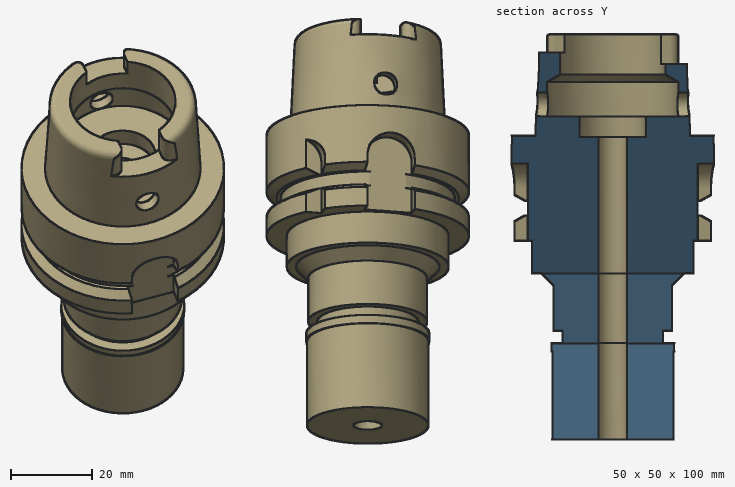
import cadquery as cq
import math

NUT_COLLAR_BOTTOM = 21.7
NUT_TOP = 23.8
NECK_TOP = 26.8
SHANK_CONE_BOTTOM = 38.0
HOLDER_BOTTOM = 41.0
FLANGE_BOTTOM = 49.0
FLANGE_TOP = 75.0
OVERALL_HEIGHT = 100.0

NUT_RADIUS = 15.0
NUT_COLLAR_RADIUS = 15.2
NECK_RADIUS = 12.5
SHANK_RADIUS = 14.7
SHANK_CONE_TOP_RADIUS = SHANK_RADIUS + HOLDER_BOTTOM - SHANK_CONE_BOTTOM
THROUGH_HOLE_RADIUS = 3.5

SPIGOT_RADIUS = 20.0
FLANGE_RADIUS = 25.0
GROOVE_FLOOR_RADIUS = 21.5
GROOVE_LEDGE_RADIUS = 22.5
GROOVE_CENTER = FLANGE_TOP - 17.9
GROOVE_FLOOR_WIDTH = 3.6
GROOVE_CHAMFER_ANGLE = 30.0

TAPER_BASE_RADIUS = 19.2
TAPER_TOP_RADIUS = 18.0
RIM_ROUNDING = 1.7
BORE_RADIUS = 13.0
UNDERCUT_RADIUS = 16.2
CLAMP_FACE_DEPTH = 10.0
CLAMP_FACE_ANGLE = 30.0
CAVITY_DEPTH = 20.3
COUNTERBORE_RADIUS = 8.1
COUNTERBORE_DEPTH = 5.0
CROSS_HOLE_DIAMETER = 5.8
CROSS_HOLE_HEIGHT = FLANGE_TOP + 7.7

RIM_SLOTS = [(-1, 4.5), (1, 7.3)]
RIM_SLOT_WIDTH = 10.6
RIM_FLAT_DISTANCE = 16.2
RIM_SLOT_ROUNDING = 2.0

FLANGE_SLOT_WIDTH = 12.0
FLANGE_SLOT_TOP = FLANGE_TOP - 6.9
FLANGE_SLOT_FLOOR = 21.0
NOTCH_FLOOR = 15.6
NOTCH_SIDE = 15.6


def make_nut():
    nut = cq.Workplane().circle(NUT_RADIUS).extrude(NUT_TOP)
    collar = (
        cq.Workplane()
        .workplane(offset=NUT_COLLAR_BOTTOM)
        .circle(NUT_COLLAR_RADIUS)
        .extrude(NUT_TOP - NUT_COLLAR_BOTTOM)
    )
    bore = cq.Workplane().circle(THROUGH_HOLE_RADIUS).extrude(NUT_TOP)
    return nut.union(collar).cut(bore)


def make_shank():
    """Neck, cylinder and cone that join the nut to the holder."""
    return (
        cq.Workplane("YZ")
        .moveTo(THROUGH_HOLE_RADIUS, NUT_TOP)
        .lineTo(NECK_RADIUS, NUT_TOP)
        .lineTo(NECK_RADIUS, NECK_TOP)
        .lineTo(SHANK_RADIUS, NECK_TOP)
        .lineTo(SHANK_RADIUS, SHANK_CONE_BOTTOM)
        .lineTo(SHANK_CONE_TOP_RADIUS, HOLDER_BOTTOM)
        .lineTo(THROUGH_HOLE_RADIUS, HOLDER_BOTTOM)
        .close()
        .revolve(360, (0, 0, 0), (0, 1, 0))
    )


def holder_outside():
    floor_half = GROOVE_FLOOR_WIDTH / 2
    chamfer_width = FLANGE_RADIUS - GROOVE_LEDGE_RADIUS
    mouth_half = floor_half + chamfer_width * math.tan(math.radians(GROOVE_CHAMFER_ANGLE))
    solid = (
        cq.Workplane("YZ")
        .moveTo(0, HOLDER_BOTTOM)
        .lineTo(SPIGOT_RADIUS, HOLDER_BOTTOM)
        .lineTo(SPIGOT_RADIUS, FLANGE_BOTTOM)
        .lineTo(FLANGE_RADIUS, FLANGE_BOTTOM)
        .lineTo(FLANGE_RADIUS, GROOVE_CENTER - mouth_half)
        .lineTo(GROOVE_LEDGE_RADIUS, GROOVE_CENTER - floor_half)
        .lineTo(GROOVE_FLOOR_RADIUS, GROOVE_CENTER - floor_half)
        .lineTo(GROOVE_FLOOR_RADIUS, GROOVE_CENTER + floor_half)
        .lineTo(GROOVE_LEDGE_RADIUS, GROOVE_CENTER + floor_half)
        .lineTo(FLANGE_RADIUS, GROOVE_CENTER + mouth_half)
        .lineTo(FLANGE_RADIUS, FLANGE_TOP)
        .lineTo(TAPER_BASE_RADIUS, FLANGE_TOP)
        .lineTo(TAPER_TOP_RADIUS, OVERALL_HEIGHT)
        .lineTo(0, OVERALL_HEIGHT)
        .close()
        .revolve(360, (0, 0, 0), (0, 1, 0))
    )
    return solid.faces(">Z").edges().fillet(RIM_ROUNDING)


def holder_cavity():
    """Clamping bore with its undercut, the counterbore in its floor and the through hole."""
    clamp_face_top = OVERALL_HEIGHT - CLAMP_FACE_DEPTH
    clamp_face_drop = (UNDERCUT_RADIUS - BORE_RADIUS) * math.tan(math.radians(CLAMP_FACE_ANGLE))
    floor = OVERALL_HEIGHT - CAVITY_DEPTH
    return (
        cq.Workplane("YZ")
        .moveTo(0, OVERALL_HEIGHT)
        .lineTo(BORE_RADIUS, OVERALL_HEIGHT)
        .lineTo(BORE_RADIUS, clamp_face_top)
        .lineTo(UNDERCUT_RADIUS, clamp_face_top - clamp_face_drop)
        .lineTo(UNDERCUT_RADIUS, floor)
        .lineTo(COUNTERBORE_RADIUS, floor)
        .lineTo(COUNTERBORE_RADIUS, floor - COUNTERBORE_DEPTH)
        .lineTo(THROUGH_HOLE_RADIUS, floor - COUNTERBORE_DEPTH)
        .lineTo(THROUGH_HOLE_RADIUS, HOLDER_BOTTOM)
        .lineTo(0, HOLDER_BOTTOM)
        .close()
        .revolve(360, (0, 0, 0), (0, 1, 0))
    )


def cross_hole():
    return (
        cq.Workplane("YZ")
        .center(0, CROSS_HOLE_HEIGHT)
        .circle(CROSS_HOLE_DIAMETER / 2)
        .extrude(TAPER_BASE_RADIUS, both=True)
    )


def rim_slot(side, depth):
    """Slot through the rim whose mouth rounds out into a flat across the taper."""
    half_width = RIM_SLOT_WIDTH / 2
    arc_start = side * (RIM_FLAT_DISTANCE - RIM_SLOT_ROUNDING)
    flat = side * RIM_FLAT_DISTANCE
    outside = side * FLANGE_RADIUS
    arc_end = half_width + RIM_SLOT_ROUNDING
    arc_radius = RIM_SLOT_ROUNDING
    arc_middle_x = arc_start + side * arc_radius * math.sin(math.pi / 4)
    arc_middle_y = arc_end - arc_radius * math.cos(math.pi / 4)
    return (
        cq.Workplane()
        .workplane(offset=OVERALL_HEIGHT - depth)
        .moveTo(0, half_width)
        .lineTo(arc_start, half_width)
        .threePointArc((arc_middle_x, arc_middle_y), (flat, arc_end))
        .lineTo(flat, FLANGE_RADIUS)
        .lineTo(outside, FLANGE_RADIUS)
        .lineTo(outside, -FLANGE_RADIUS)
        .lineTo(flat, -FLANGE_RADIUS)
        .lineTo(flat, -arc_end)
        .threePointArc((arc_middle_x, -arc_middle_y), (arc_start, -half_width))
        .lineTo(0, -half_width)
        .close()
        .extrude(depth)
    )


def flange_slot(side, center_y, floor):
    """Round-topped slot, open below, cut into the flange along X down to a flat floor."""
    radius = FLANGE_SLOT_WIDTH / 2
    arc_center = FLANGE_SLOT_TOP - radius
    return (
        cq.Workplane("YZ", origin=(side * floor, 0, 0))
        .moveTo(center_y - radius, FLANGE_BOTTOM)
        .lineTo(center_y + radius, FLANGE_BOTTOM)
        .lineTo(center_y + radius, arc_center)
        .threePointArc((center_y, FLANGE_SLOT_TOP), (center_y - radius, arc_center))
        .close()
        .extrude(side * (FLANGE_RADIUS - floor))
    )


def make_holder():
    holder = holder_outside().cut(holder_cavity()).cut(cross_hole())
    for side, depth in RIM_SLOTS:
        holder = holder.cut(rim_slot(side, depth))
    for side in (-1, 1):
        holder = holder.cut(flange_slot(side, 0, FLANGE_SLOT_FLOOR))
    notch_center = NOTCH_SIDE + FLANGE_SLOT_WIDTH / 2
    return holder.cut(flange_slot(-1, notch_center, NOTCH_FLOOR))


nut = make_nut()
shank = make_shank()
holder = make_holder()

result = cq.Compound.makeCompound([nut.val(), shank.val(), holder.val()])